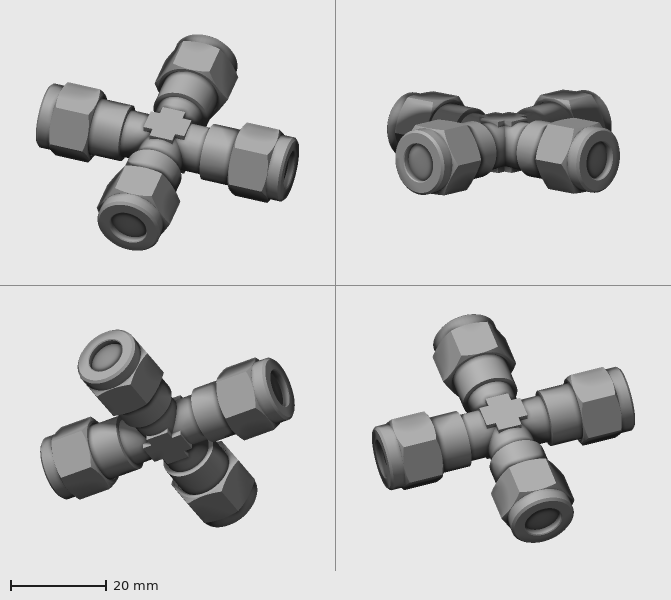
import cadquery as cq
import math

span = 54.0
nut_across_flats = 14.0
nut_bevel_diameter = 13.85
nut_bevel_angle = 30.0
nut_length = 8.5
nut_mouth_diameter = 12.6
nut_mouth_depth = 0.3
collar_diameter = 13.8
collar_length = 3.0
collar_chamfer = 0.5
sleeve_diameter = 12.0
sleeve_start = 9.0
shoulder_length = 0.15
neck_diameter = 10.0
bore_diameter = 8.0
bore_chamfer = 0.2
bore_depth = 1.5
pad_length = 9.0
pad_width = 5.0
pad_height = 11.0

arm_end = span / 2
nut_end = arm_end - collar_length
nut_start = nut_end - nut_length
nut_across_corners = nut_across_flats / math.cos(math.radians(30))
nut_bevel_height = (nut_across_corners - nut_bevel_diameter) / 2 * math.tan(math.radians(nut_bevel_angle))


def turned(profile):
    """Solid of revolution about Z from (radius, height) points, closed along the axis."""
    axis_start = (0, profile[0][1])
    axis_end = (0, profile[-1][1])
    outline = cq.Workplane("XZ").polyline([axis_start] + profile + [axis_end]).close()
    return outline.revolve(360, (0, 0, 0), (0, 1, 0))


def make_nut():
    """Hexagonal nut along +Z, corners bevelled at both ends and inner face recessed."""
    hexagon = (
        cq.Workplane("XY")
        .workplane(offset=nut_start)
        .polygon(6, nut_across_corners)
        .extrude(nut_length)
    )
    bevel_radius = nut_bevel_diameter / 2
    corner_radius = nut_across_corners / 2
    envelope = turned([
        (bevel_radius, nut_start),
        (corner_radius, nut_start + nut_bevel_height),
        (corner_radius, nut_end - nut_bevel_height),
        (bevel_radius, nut_end),
    ])
    mouth_radius = nut_mouth_diameter / 2
    mouth = turned([
        (mouth_radius, nut_start),
        (mouth_radius, nut_start + nut_mouth_depth),
    ])
    return hexagon.intersect(envelope).cut(mouth)


def make_stem():
    """Round neck, sleeve and end collar along +Z."""
    neck_radius = neck_diameter / 2
    sleeve_radius = sleeve_diameter / 2
    collar_radius = collar_diameter / 2
    return turned([
        (neck_radius, 0),
        (neck_radius, sleeve_start - shoulder_length),
        (sleeve_radius, sleeve_start),
        (sleeve_radius, nut_end),
        (collar_radius, nut_end),
        (collar_radius, arm_end - collar_chamfer),
        (collar_radius - collar_chamfer, arm_end),
    ])


def make_bore():
    """Shallow blind bore with a chamfered rim, at the outer end of the arm."""
    bore_radius = bore_diameter / 2
    return turned([
        (bore_radius, arm_end - bore_depth),
        (bore_radius, arm_end - bore_chamfer),
        (bore_radius + bore_chamfer, arm_end),
    ])


def make_arm():
    """One tube connection, from the part centre out along +Z."""
    return make_stem().union(make_nut()).cut(make_bore())


def make_pad():
    """Flat-topped cross-shaped block through the centre of the body."""
    limb_x = cq.Workplane("XY").box(pad_length, pad_width, pad_height)
    limb_y = cq.Workplane("XY").box(pad_width, pad_length, pad_height)
    return limb_x.union(limb_y)


arm_along_x = make_arm().rotate((0, 0, 0), (0, 1, 0), 90).rotate((0, 0, 0), (1, 0, 0), 90)

arm_count = 4
result = make_pad()
for arm_index in range(arm_count):
    result = result.union(arm_along_x.rotate((0, 0, 0), (0, 0, 1), arm_index * 360 / arm_count))